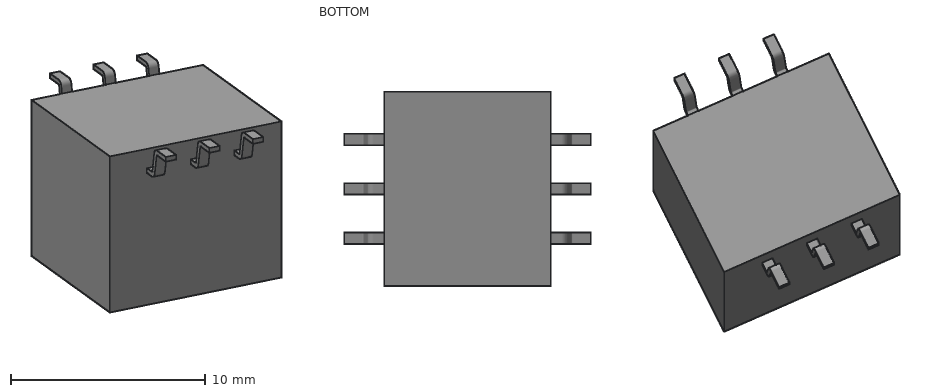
import cadquery as cq
import math

lead_span = 12.7
body_depth = 10.0
total_height = 9.0

body_width = 8.59
foot_standoff = 0.3
body_height = total_height - foot_standoff

lead_pitch = 2.54
leads_per_side = 3
lead_width = 0.6
lead_thickness = 0.27
foot_length = 1.1
crank_run = 0.27
crank_drop = 1.38
inner_bend_radius = 0.05
outer_bend_radius = inner_bend_radius + lead_thickness
body_overlap = 0.13


def make_body():
    return cq.Workplane("XY").box(body_width, body_depth, body_height, centered=(True, True, False))


def make_left_lead(y_centre):
    """Strip with a foot at the top, a sloping web and a root entering the body."""
    tip_x = -lead_span / 2
    root_x = -body_width / 2 + body_overlap
    upper_x = tip_x + foot_length
    lower_x = upper_x + crank_run
    foot_top = total_height
    foot_bottom = foot_top - lead_thickness
    root_top = foot_top - crank_drop
    root_bottom = root_top - lead_thickness

    turn_angle = math.atan2(crank_drop, crank_run)
    mitre = lead_thickness / 2 * math.tan(turn_angle / 2)

    lead = (
        cq.Workplane("XZ", origin=(0, y_centre, 0))
        .moveTo(tip_x, foot_top)
        .lineTo(upper_x + mitre, foot_top)
        .lineTo(lower_x + mitre, root_top)
        .lineTo(root_x, root_top)
        .lineTo(root_x, root_bottom)
        .lineTo(lower_x - mitre, root_bottom)
        .lineTo(upper_x - mitre, foot_bottom)
        .lineTo(tip_x, foot_bottom)
        .close()
        .extrude(lead_width / 2, both=True)
    )
    outer_corners = [(upper_x + mitre, foot_top), (lower_x - mitre, root_bottom)]
    inner_corners = [(upper_x - mitre, foot_bottom), (lower_x + mitre, root_top)]
    for corners, radius in ((outer_corners, outer_bend_radius), (inner_corners, inner_bend_radius)):
        for x, z in corners:
            nearest_edge = cq.selectors.NearestToPointSelector((x, y_centre, z))
            lead = lead.edges("|Y").edges(nearest_edge).fillet(radius)
    return lead


result = make_body()
for index in range(leads_per_side):
    lead_y = (index - (leads_per_side - 1) / 2) * lead_pitch
    left_lead = make_left_lead(lead_y)
    result = result.union(left_lead).union(left_lead.mirror("YZ"))